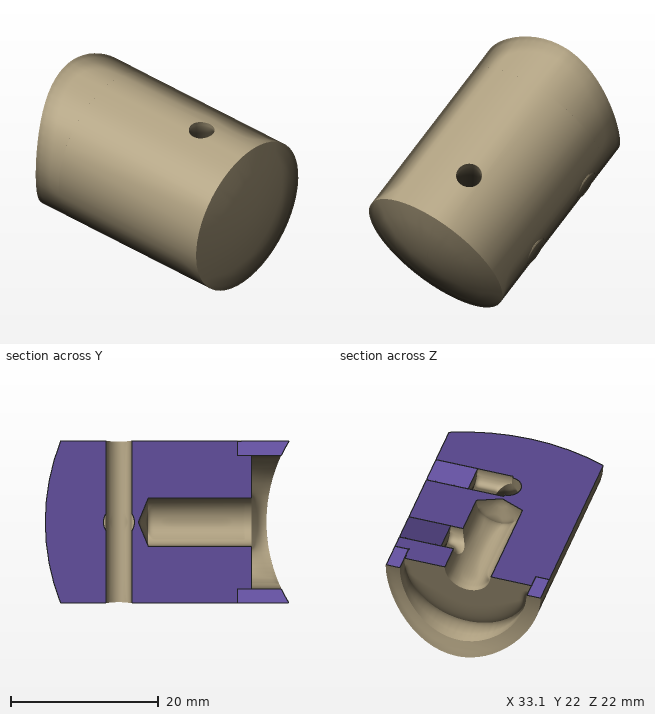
import cadquery as cq
import math


body_diameter = 22.0
body_radius = body_diameter / 2
saddle_radius = 21.2
dome_tip_x = 30.0
dome_radius = 30.0
saddle_edge_x = math.sqrt(saddle_radius**2 - body_radius**2) - saddle_radius
dome_edge_x = dome_tip_x - dome_radius + math.sqrt(dome_radius**2 - body_radius**2)

ring_joint_x = 4.0
ring_bore_diameter = 18.0

spigot_face_x = 2.0

bore_diameter = 6.5
bore_radius = bore_diameter / 2
bore_depth = 14.0
drill_point_angle = 135.0
drill_point_length = bore_radius / math.tan(math.radians(drill_point_angle / 2))

cross_hole_x = 20.0
cross_hole_diameter = 3.5

screw_diameter = 4.134
screw_chamfer = 0.15
screw_length = 6.0
screw_positions_x = [8.0, cross_hole_x]


def cylinder_along_x(diameter, start_x, end_x):
    return cq.Workplane("YZ", origin=(start_x, 0, 0)).circle(diameter / 2).extrude(end_x - start_x)


def cylinder_along_y(diameter, x, start_y, end_y):
    return cq.Workplane("XZ", origin=(x, end_y, 0)).circle(diameter / 2).extrude(end_y - start_y)


def make_saddle_ring():
    ring = cylinder_along_x(body_diameter, saddle_edge_x, ring_joint_x)
    ring = ring.cut(cylinder_along_x(ring_bore_diameter, saddle_edge_x, ring_joint_x))
    saddle_tube = (
        cq.Workplane("XZ", origin=(-saddle_radius, 0, 0))
        .circle(saddle_radius)
        .extrude(body_radius, both=True)
    )
    return ring.cut(saddle_tube)


def make_axial_bore():
    bore_end_x = spigot_face_x + bore_depth
    return (
        cq.Workplane("XZ")
        .moveTo(spigot_face_x, 0)
        .lineTo(spigot_face_x, bore_radius)
        .lineTo(bore_end_x, bore_radius)
        .lineTo(bore_end_x + drill_point_length, 0)
        .close()
        .revolve(360, (0, 0, 0), (1, 0, 0))
    )


def make_housing():
    dome_mid_angle = math.asin(body_radius / dome_radius) / 2
    dome_mid = (
        dome_tip_x - dome_radius + dome_radius * math.cos(dome_mid_angle),
        dome_radius * math.sin(dome_mid_angle),
    )
    housing = (
        cq.Workplane("XZ")
        .moveTo(spigot_face_x, 0)
        .lineTo(spigot_face_x, ring_bore_diameter / 2)
        .lineTo(ring_joint_x, ring_bore_diameter / 2)
        .lineTo(ring_joint_x, body_radius)
        .lineTo(dome_edge_x, body_radius)
        .threePointArc(dome_mid, (dome_tip_x, 0))
        .close()
        .revolve(360, (0, 0, 0), (1, 0, 0))
    )
    cross_hole = (
        cq.Workplane("XY", origin=(cross_hole_x, 0, 0))
        .circle(cross_hole_diameter / 2)
        .extrude(body_radius, both=True)
    )
    housing = housing.cut(make_axial_bore()).cut(cross_hole)
    for screw_x in screw_positions_x:
        housing = housing.cut(cylinder_along_y(screw_diameter, screw_x, 0, body_radius))
    return housing


def make_set_screw(screw_x):
    screw = cylinder_along_y(screw_diameter, screw_x, body_radius - screw_length, body_radius)
    return screw.faces(">Y").chamfer(screw_chamfer)


saddle_ring = make_saddle_ring()
housing = make_housing()
set_screws = [make_set_screw(screw_x) for screw_x in screw_positions_x]

result = cq.Compound.makeCompound(
    [saddle_ring.val(), housing.val(), *[screw.val() for screw in set_screws]]
)